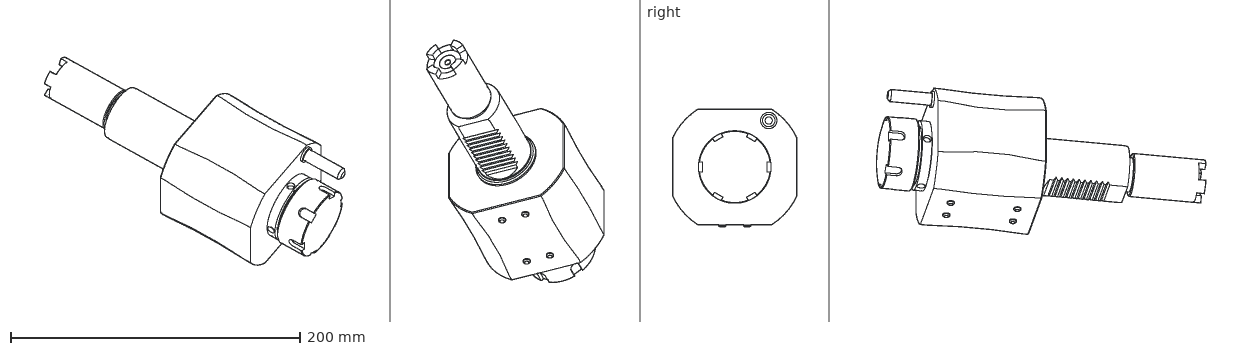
import cadquery as cq
import math


tooth_length = 5.2
tooth_inner_radius = 10.0
tooth_gap_angle = 52.0
tooth_count = 4
spindle_diameter = 30.0
spindle_radius = spindle_diameter / 2
spindle_end = 50.9
spindle_chamfer = 0.7
end_recess_depth = 0.2
center_recess_radius = 5.9
center_recess_depth = 0.5
center_hole_radius = 2.0
center_hole_depth = 1.1
neck_radius = 12.0

shank_start = 54.7
shank_radius = 20.0
shank_chamfer_length = 2.7
shank_chamfer_height = 0.35
groove_start = 114.0
groove_radius = 19.5
collar_start = 115.0
collar_radius = 22.2
collar_chamfer = 1.1
flat_height = 16.3
flat_end = 109.7
rack_start = 67.5
rack_pitch = 4.0
rack_depth = 1.4
rack_notch_count = 10

housing_start = 117.5
housing_length = 76.2
housing_end = housing_start + housing_length
housing_width = 86.0
housing_height = 80.0
housing_chamfer = 0.7
corner_radius = 47.5
corner_waist_radius = 46.4
corner_band_start = 4.0
corner_band_end = 5.0
face_recess_radius = 7.5
face_recess_depth = 0.2
face_recess_y = 15.8
face_recess_z = 27.5

screw_radius = 2.5
screw_height = 1.5
screw_chamfer = 1.0
screw_y = 8.5
screw_x_positions = (131.8, 178.7)

holder_start = 194.7
holder_end = 201.3
holder_radius = 24.2
holder_neck_radius = 20.5
cross_hole_radius = 2.7
cross_hole_depth = 3.5
cross_hole_count = 4
nut_start = 203.3
nut_end = 224.3
nut_radius = 25.0
nut_chamfer = 1.0
nut_rim_chamfer_length = 0.7
nut_rim_chamfer_height = 0.5
nose_end = 226.2
nose_radius = 17.6
nut_slot_count = 6
nut_slot_width = 6.8
nut_slot_start = 213.7
nut_slot_floor_radius = 22.2

pin_y = 23.5
pin_z = 32.1
pin_radius = 4.3
pin_end = 225.7
pin_chamfer = 1.8
pin_flange_radius = 5.7
pin_flange_length = 1.5


def rod(start, end, radius, y=0.0, z=0.0):
    """Cylinder along X between two stations."""
    return cq.Workplane("YZ", origin=(start, y, z)).circle(radius).extrude(end - start)


def ring_point(radius, angle):
    """Point (y, z) at a radius and an angle around the spindle axis."""
    return (radius * math.cos(math.radians(angle)), radius * math.sin(math.radians(angle)))


def tooth_gap(middle_angle):
    """Sector between two drive teeth, reaching past the spindle surface."""
    reach = 2 * spindle_radius
    return (
        cq.Workplane("YZ")
        .lineTo(*ring_point(reach, middle_angle - tooth_gap_angle / 2))
        .lineTo(*ring_point(reach, middle_angle + tooth_gap_angle / 2))
        .close()
        .extrude(tooth_length)
    )


def drive_spindle():
    spindle = rod(0, spindle_end, spindle_radius).faces(">X").chamfer(spindle_chamfer)
    for index in range(tooth_count):
        spindle = spindle.cut(tooth_gap(index * 360 / tooth_count))
    spindle = spindle.cut(rod(0, tooth_length + end_recess_depth, tooth_inner_radius))
    spindle = spindle.cut(rod(0, tooth_length + center_recess_depth, center_recess_radius))
    spindle = spindle.cut(rod(0, tooth_length + center_hole_depth, center_hole_radius))
    return spindle.union(rod(spindle_end, shank_start, neck_radius))


def shank():
    body = (
        cq.Workplane("XZ")
        .moveTo(shank_start, 0)
        .lineTo(shank_start, shank_radius - shank_chamfer_height)
        .lineTo(shank_start + shank_chamfer_length, shank_radius)
        .lineTo(groove_start, shank_radius)
        .lineTo(groove_start, groove_radius)
        .lineTo(collar_start, groove_radius)
        .lineTo(collar_start, collar_radius - collar_chamfer)
        .lineTo(collar_start + collar_chamfer, collar_radius)
        .lineTo(housing_start, collar_radius)
        .lineTo(housing_start, 0)
        .close()
        .revolve(360, (0, 0, 0), (1, 0, 0))
    )
    return body.cut(rack_cutter())


def rack_cutter():
    """Space below the flat, with a 45 degree run-out and V notches above it."""
    below = 2 * shank_radius
    outline = cq.Workplane("XZ").moveTo(shank_start, -below).lineTo(shank_start, -flat_height)
    for notch in range(rack_notch_count):
        notch_start = rack_start + notch * rack_pitch
        outline = (
            outline.lineTo(notch_start, -flat_height)
            .lineTo(notch_start + rack_depth, -flat_height + rack_depth)
            .lineTo(notch_start + 2 * rack_depth, -flat_height)
        )
    return (
        outline.lineTo(flat_end, -flat_height)
        .lineTo(flat_end + below - flat_height, -below)
        .close()
        .extrude(shank_radius, both=True)
    )


def housing():
    """Block whose four long corners are turned, with a slightly hollow waist."""
    block = cq.Workplane("XY").box(housing_length, housing_width, housing_height)
    block = block.translate((housing_start + housing_length / 2, 0, 0))
    turned = (
        cq.Workplane("XZ")
        .moveTo(housing_start, 0)
        .lineTo(housing_start, corner_radius - housing_chamfer)
        .lineTo(housing_start + housing_chamfer, corner_radius)
        .lineTo(housing_start + corner_band_start, corner_radius)
        .threePointArc(
            (housing_start + housing_length / 2, corner_waist_radius),
            (housing_end - corner_band_end, corner_radius),
        )
        .lineTo(housing_end, corner_radius)
        .lineTo(housing_end, 0)
        .close()
        .revolve(360, (0, 0, 0), (1, 0, 0))
    )
    block = block.faces("<X").chamfer(housing_chamfer).intersect(turned)
    recess_end = housing_start + face_recess_depth
    return block.cut(rod(housing_start, recess_end, face_recess_radius, face_recess_y, face_recess_z))


def screw_heads():
    bottom = -housing_height / 2
    spots = [(x, side * screw_y) for x in screw_x_positions for side in (-1, 1)]
    return (
        cq.Workplane("XY", origin=(0, 0, bottom))
        .pushPoints(spots)
        .circle(screw_radius)
        .extrude(-screw_height)
        .faces("<Z")
        .chamfer(screw_chamfer)
    )


def collet_holder():
    holder = rod(housing_end, nut_start, holder_neck_radius)
    holder = holder.union(rod(holder_start, holder_end, holder_radius))
    hole = (
        cq.Workplane("XY", origin=((holder_start + holder_end) / 2, 0, holder_radius - cross_hole_depth))
        .circle(cross_hole_radius)
        .extrude(2 * cross_hole_depth)
    )
    for index in range(cross_hole_count):
        holder = holder.cut(hole.rotate((0, 0, 0), (1, 0, 0), index * 360 / cross_hole_count))
    return holder


def clamping_nut():
    """Round nut with a conical nose and radial wrench slots open towards the nose."""
    nut = (
        cq.Workplane("XZ")
        .moveTo(nut_start, 0)
        .lineTo(nut_start, nut_radius - nut_chamfer)
        .lineTo(nut_start + nut_chamfer, nut_radius)
        .lineTo(nut_end - nut_rim_chamfer_length, nut_radius)
        .lineTo(nut_end, nut_radius - nut_rim_chamfer_height)
        .lineTo(nose_end, nose_radius)
        .lineTo(nose_end, 0)
        .close()
        .revolve(360, (0, 0, 0), (1, 0, 0))
    )
    end_radius = nut_slot_width / 2
    slot = (
        cq.Workplane("XZ")
        .moveTo(nose_end, -end_radius)
        .lineTo(nut_slot_start + end_radius, -end_radius)
        .threePointArc((nut_slot_start, 0), (nut_slot_start + end_radius, end_radius))
        .lineTo(nose_end, end_radius)
        .close()
        .extrude(nut_radius)
        .translate((0, -nut_slot_floor_radius, 0))
    )
    for index in range(nut_slot_count):
        nut = nut.cut(slot.rotate((0, 0, 0), (1, 0, 0), index * 360 / nut_slot_count))
    return nut


def locating_pin():
    pin = rod(housing_end, pin_end, pin_radius, pin_y, pin_z).faces(">X").chamfer(pin_chamfer)
    return pin.union(rod(housing_end, housing_end + pin_flange_length, pin_flange_radius, pin_y, pin_z))


result = drive_spindle()
for piece in (shank(), housing(), screw_heads(), collet_holder(), clamping_nut(), locating_pin()):
    result = result.union(piece)